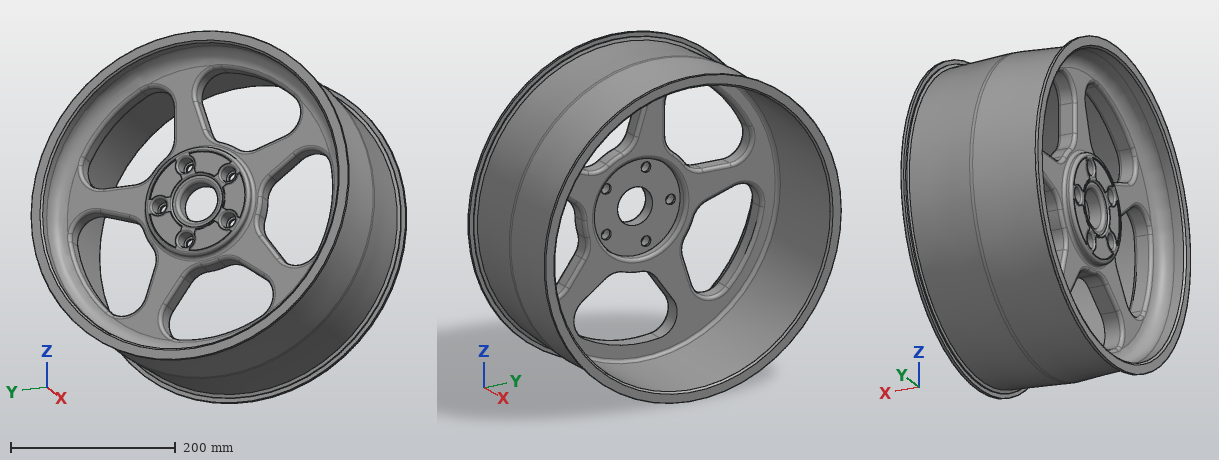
import cadquery as cq
import math


WIDTH = 185.5
FLANGE_RADIUS = 208.0
FLANGE_THICKNESS = 3.7
STEP_RADIUS = 202.5
STEP_THICKNESS = 1.5
BEAD_RADIUS = 198.5
BEAD_RAMP = 1.2
CROWN_RADIUS = 203.5
CROWN_WIDTH = 4.0
LIP_RADIUS = 196.5
LIP_CHAMFER = 2.5
BARREL_BORE_RADIUS = LIP_RADIUS - LIP_CHAMFER

DISC_DEPTH = 34.5
DISC_THICKNESS = 25.0
DISC_FACE_RADIUS = 174.8

COUNT = 5
STEP_ANGLE = 360 / COUNT
WINDOW_OUTER_RADIUS = 172.0
WINDOW_INNER_RADIUS = 80.0
WINDOW_CORNER_RADIUS = 29.0
SPOKE_OFFSET = 35.8
WINDOW_ANGLE = 45.0
WINDOW_ROUNDING = 4.5
SHARP_BACK_WINDOW = 3

HUB_RADIUS = 69.0
HUB_HEIGHT = 11.2
HUB_ROUNDING = 4.0
HUB_THICKNESS = 23.0
HUB_RECESS_RADIUS = 63.3
BORE_RADIUS = 24.5
BORE_ROUNDING = 4.5
BORE_RECESS_RADIUS = 33.0
BORE_RECESS_ROUNDING = 2.0
BORE_RECESS_DEPTH = 2.5

BOLT_CIRCLE_RADIUS = 50.0
BOLT_HOLE_RADIUS = 6.5
NUT_BORE_RADIUS = 9.5
NUT_BORE_DEPTH = 19.5
NUT_BORE_ROUNDING = 2.5

POCKET_DEPTH = 1.2
POCKET_ROUNDING = 1.0
POCKET_OUTER_RADIUS = 63.3
POCKET_INNER_RADIUS = 35.8
BOLT_ISLAND_RADIUS = 13.0
BOLT_WEB_WIDTH = 18.7

FRONT = -WIDTH / 2
DISC_FRONT = FRONT + DISC_DEPTH
DISC_BACK = DISC_FRONT + DISC_THICKNESS
HUB_FRONT = DISC_FRONT - HUB_HEIGHT
HUB_BACK = HUB_FRONT + HUB_THICKNESS


def revolve_about_x(profile):
    """Turn a profile drawn with axial and radial coordinates around the wheel axis."""
    return profile.close().revolve(360, (0, 0, 0), (1, 0, 0))


def facing_plane(x):
    """Plane across the wheel axis, with local axes along Y and Z and normal +X."""
    return cq.Workplane("YZ", origin=(x, 0, 0))


def at_angle(radius, degrees):
    angle = math.radians(degrees)
    return (radius * math.cos(angle), radius * math.sin(angle))


def outer_side(side):
    """Outer rim points from one open end (side -1 or +1) to the crown."""
    distances_and_radii = [
        (0, LIP_RADIUS),
        (0, FLANGE_RADIUS),
        (FLANGE_THICKNESS, FLANGE_RADIUS),
        (FLANGE_THICKNESS, STEP_RADIUS),
        (FLANGE_THICKNESS + STEP_THICKNESS, STEP_RADIUS),
        (FLANGE_THICKNESS + STEP_THICKNESS + BEAD_RAMP, BEAD_RADIUS),
    ]
    points = [(side * (WIDTH / 2 - distance), radius) for distance, radius in distances_and_radii]
    return points + [(side * CROWN_WIDTH / 2, CROWN_RADIUS)]


def make_rim_and_disc():
    """Barrel, dished lip, solid disc and hub boss as one turned body."""
    dish_radius = BARREL_BORE_RADIUS - DISC_FACE_RADIUS
    dish_middle = dish_radius * math.sqrt(0.5)
    outline = outer_side(-1) + outer_side(1)[::-1]
    profile = (
        cq.Workplane("XY")
        .polyline(outline)
        .lineTo(-FRONT - LIP_CHAMFER, BARREL_BORE_RADIUS)
        .lineTo(DISC_BACK, BARREL_BORE_RADIUS)
        .lineTo(DISC_BACK, HUB_RECESS_RADIUS)
        .lineTo(HUB_BACK, HUB_RECESS_RADIUS)
        .lineTo(HUB_BACK, BORE_RADIUS)
        .lineTo(HUB_FRONT, BORE_RADIUS)
        .lineTo(HUB_FRONT, HUB_RADIUS - HUB_ROUNDING)
        .radiusArc((HUB_FRONT + HUB_ROUNDING, HUB_RADIUS), HUB_ROUNDING)
        .lineTo(DISC_FRONT - HUB_ROUNDING, HUB_RADIUS)
        .radiusArc((DISC_FRONT, HUB_RADIUS + HUB_ROUNDING), -HUB_ROUNDING)
        .lineTo(DISC_FRONT, DISC_FACE_RADIUS)
        .threePointArc(
            (DISC_FRONT - dish_radius + dish_middle, DISC_FACE_RADIUS + dish_middle),
            (DISC_FRONT - dish_radius, BARREL_BORE_RADIUS),
        )
        .lineTo(FRONT + LIP_CHAMFER, BARREL_BORE_RADIUS)
    )
    return revolve_about_x(profile)


def corner_centre(reach):
    """Centre of a window corner touching the straight edge, at a given distance from the axis."""
    u = SPOKE_OFFSET + WINDOW_CORNER_RADIUS
    return (u, math.sqrt(reach ** 2 - u ** 2))


def make_window():
    """Window between two edges parallel to Y and Z, mirrored about its 45 degree line."""
    r = WINDOW_CORNER_RADIUS
    outer_u, outer_v = corner_centre(WINDOW_OUTER_RADIUS - r)
    inner_u, inner_v = corner_centre(WINDOW_INNER_RADIUS + r)
    outer_angle = math.degrees(math.atan2(outer_v, outer_u))
    inner_angle = math.degrees(math.atan2(inner_v, inner_u))

    def on_corner(u, v, degrees):
        du, dv = at_angle(r, degrees)
        return (u + du, v + dv)

    def swap(point):
        return (point[1], point[0])

    outer_mid = on_corner(outer_u, outer_v, (180 + outer_angle) / 2)
    outer_end = at_angle(WINDOW_OUTER_RADIUS, outer_angle)
    inner_mid = on_corner(inner_u, inner_v, 180 + inner_angle / 2)
    inner_end = at_angle(WINDOW_INNER_RADIUS, inner_angle)
    edge_outer = (SPOKE_OFFSET, outer_v)
    edge_inner = (SPOKE_OFFSET, inner_v)

    return (
        facing_plane(HUB_FRONT)
        .moveTo(*edge_inner)
        .lineTo(*edge_outer)
        .threePointArc(outer_mid, outer_end)
        .threePointArc(at_angle(WINDOW_OUTER_RADIUS, WINDOW_ANGLE), swap(outer_end))
        .threePointArc(swap(outer_mid), swap(edge_outer))
        .lineTo(*swap(edge_inner))
        .threePointArc(swap(inner_mid), swap(inner_end))
        .threePointArc(at_angle(WINDOW_INNER_RADIUS, WINDOW_ANGLE), inner_end)
        .threePointArc(inner_mid, edge_inner)
        .close()
        .extrude(DISC_BACK - HUB_FRONT)
    )


def window_edges_at(x):
    """Selector for the edges of the first window lying in the plane across the axis at x."""
    half_slab = 0.05
    return cq.selectors.BoxSelector(
        (x - half_slab, 0, 0),
        (x + half_slab, WINDOW_OUTER_RADIUS, WINDOW_OUTER_RADIUS),
    )


def cut_windows(body):
    """Cut and round each window at the first place, then turn it on; a full turn ends in place."""
    window = make_window()
    for index in range(COUNT):
        body = body.cut(window)
        body = body.edges(window_edges_at(DISC_FRONT)).fillet(WINDOW_ROUNDING)
        if index != SHARP_BACK_WINDOW:
            body = body.edges(window_edges_at(DISC_BACK)).fillet(WINDOW_ROUNDING)
        body = body.rotate((0, 0, 0), (1, 0, 0), -STEP_ANGLE)
    return body


def make_hub_pockets():
    """Five pockets separated by radial webs and by round islands around the bolt holes."""
    pockets = (
        facing_plane(HUB_FRONT)
        .circle(POCKET_OUTER_RADIUS)
        .circle(POCKET_INNER_RADIUS)
        .extrude(POCKET_DEPTH)
    )
    island_centres = [at_angle(BOLT_CIRCLE_RADIUS, index * STEP_ANGLE) for index in range(COUNT)]
    islands = (
        facing_plane(HUB_FRONT)
        .pushPoints(island_centres)
        .circle(BOLT_ISLAND_RADIUS)
        .extrude(POCKET_DEPTH)
    )
    pockets = pockets.cut(islands)
    web = (
        facing_plane(HUB_FRONT)
        .center(POCKET_OUTER_RADIUS / 2, 0)
        .rect(POCKET_OUTER_RADIUS, BOLT_WEB_WIDTH)
        .extrude(POCKET_DEPTH)
    )
    for index in range(COUNT):
        pockets = pockets.cut(web.rotate((0, 0, 0), (1, 0, 0), index * STEP_ANGLE))
    return pockets.faces(">X").edges().fillet(POCKET_ROUNDING)


def make_bore_mouth():
    """Stepped and rounded front mouth of the centre bore."""
    step = HUB_FRONT + BORE_RECESS_DEPTH
    profile = (
        cq.Workplane("XY")
        .moveTo(HUB_FRONT, 0)
        .lineTo(HUB_FRONT, BORE_RECESS_RADIUS + BORE_RECESS_ROUNDING)
        .radiusArc((HUB_FRONT + BORE_RECESS_ROUNDING, BORE_RECESS_RADIUS), -BORE_RECESS_ROUNDING)
        .lineTo(step, BORE_RECESS_RADIUS)
        .lineTo(step, BORE_RADIUS + BORE_ROUNDING)
        .radiusArc((step + BORE_ROUNDING, BORE_RADIUS), -BORE_ROUNDING)
        .lineTo(step + BORE_ROUNDING, 0)
    )
    return revolve_about_x(profile)


def cut_bolt_holes(body):
    """Stepped bolt holes: a rounded nut bore at the front and a smaller through hole."""
    profile = (
        cq.Workplane("XY")
        .moveTo(HUB_FRONT, 0)
        .lineTo(HUB_FRONT, NUT_BORE_RADIUS + NUT_BORE_ROUNDING)
        .radiusArc((HUB_FRONT + NUT_BORE_ROUNDING, NUT_BORE_RADIUS), -NUT_BORE_ROUNDING)
        .lineTo(HUB_FRONT + NUT_BORE_DEPTH, NUT_BORE_RADIUS)
        .lineTo(HUB_FRONT + NUT_BORE_DEPTH, BOLT_HOLE_RADIUS)
        .lineTo(HUB_BACK, BOLT_HOLE_RADIUS)
        .lineTo(HUB_BACK, 0)
    )
    cutter = revolve_about_x(profile).translate((0, BOLT_CIRCLE_RADIUS, 0))
    for index in range(COUNT):
        body = body.cut(cutter.rotate((0, 0, 0), (1, 0, 0), index * STEP_ANGLE))
    return body


wheel = cut_windows(make_rim_and_disc())
wheel = wheel.cut(make_hub_pockets()).cut(make_bore_mouth())
result = cut_bolt_holes(wheel)